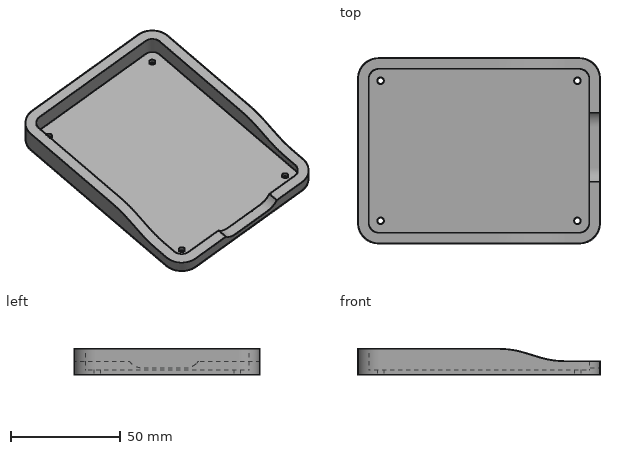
import cadquery as cq
import math

length = 111.0
width = 85.0
height = 12.0
corner_radius = 9.5
wall = 5.0
floor_thickness = 2.3

low_rim_height = 6.3
slope_start_x = 9.3
slope_end_x = 39.2
slope_radius = 38.0

notch_center_y = 1.5
notch_floor_width = 19.2
notch_flank_run = 6.2
notch_floor_height = 3.2

hole_diameter = 2.9
hole_inset = 10.4


def rounded_block(x_size, y_size, z_size, radius, z_bottom=0.0):
    block = cq.Workplane("XY").workplane(offset=z_bottom).rect(x_size, y_size).extrude(z_size)
    return block.edges("|Z").fillet(radius)


def side_profile():
    """Side outline extruded over the full width: high rim, S-shaped slope, low rim."""
    slope_run = slope_end_x - slope_start_x
    slope_drop = height - low_rim_height

    center_rise = 2 * slope_radius - slope_drop
    ramp_length = math.sqrt(slope_run**2 + center_rise**2 - (2 * slope_radius) ** 2)
    angle = math.atan2(2 * slope_radius, ramp_length) - math.atan2(center_rise, slope_run)
    arc_run = slope_radius * math.sin(angle)
    arc_drop = slope_radius * (1 - math.cos(angle))
    mid_run = slope_radius * math.sin(angle / 2)
    mid_drop = slope_radius * (1 - math.cos(angle / 2))

    return (
        cq.Workplane("XZ")
        .moveTo(-length / 2, 0)
        .lineTo(-length / 2, height)
        .lineTo(slope_start_x, height)
        .threePointArc(
            (slope_start_x + mid_run, height - mid_drop),
            (slope_start_x + arc_run, height - arc_drop),
        )
        .lineTo(slope_end_x - arc_run, low_rim_height + arc_drop)
        .threePointArc(
            (slope_end_x - mid_run, low_rim_height + mid_drop),
            (slope_end_x, low_rim_height),
        )
        .lineTo(length / 2, low_rim_height)
        .lineTo(length / 2, 0)
        .close()
        .extrude(width / 2, both=True)
    )


def finger_notch():
    """Cutter for the notch: flat floor with a concave arc rising from it on each side."""
    depth = low_rim_height - notch_floor_height
    radius = (notch_flank_run**2 + depth**2) / (2 * depth)
    half_angle = math.asin(notch_flank_run / radius) / 2
    mid_run = radius * math.sin(half_angle)
    mid_rise = radius * (1 - math.cos(half_angle))
    floor_half = notch_floor_width / 2
    top_half = floor_half + notch_flank_run

    return (
        cq.Workplane("YZ", origin=(length / 2 - wall, notch_center_y, notch_floor_height))
        .moveTo(-floor_half, 0)
        .lineTo(floor_half, 0)
        .threePointArc((floor_half + mid_run, mid_rise), (top_half, depth))
        .lineTo(-top_half, depth)
        .threePointArc((-floor_half - mid_run, mid_rise), (-floor_half, 0))
        .close()
        .extrude(wall)
    )


def screw_holes():
    spacing_x = length - 2 * hole_inset
    spacing_y = width - 2 * hole_inset
    return (
        cq.Workplane("XY")
        .rarray(spacing_x, spacing_y, 2, 2)
        .circle(hole_diameter / 2)
        .extrude(floor_thickness)
    )


body = rounded_block(length, width, height, corner_radius).intersect(side_profile())
pocket = rounded_block(
    length - 2 * wall,
    width - 2 * wall,
    height - floor_thickness,
    corner_radius - wall,
    z_bottom=floor_thickness,
)
result = body.cut(pocket).cut(finger_notch()).cut(screw_holes())